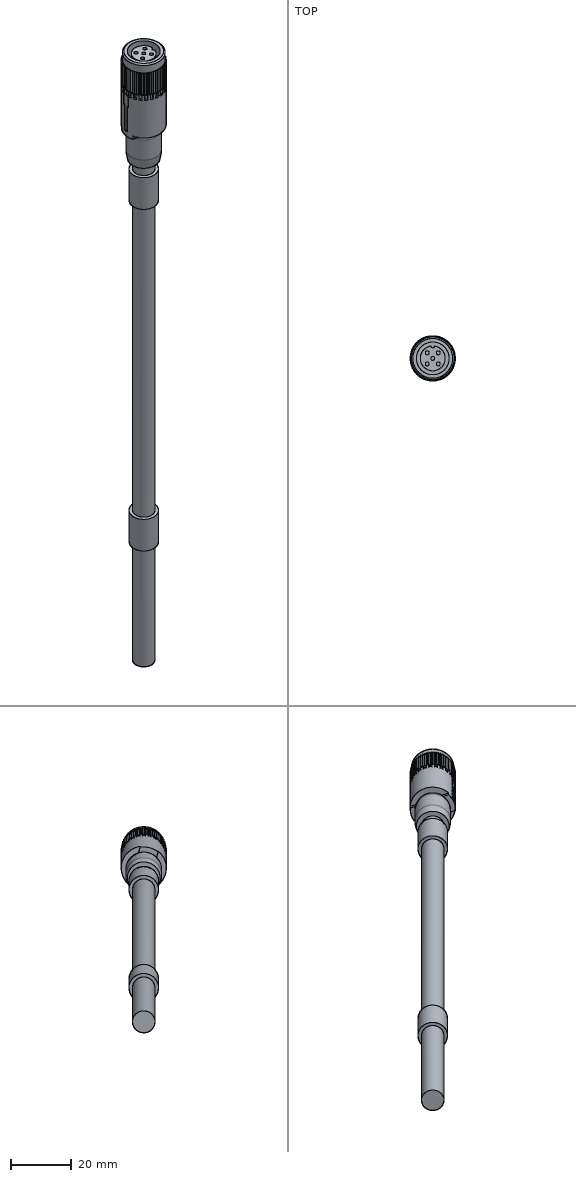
import cadquery as cq
import math

total_length = 258.2
plug_diameter = 15.0
plug_radius = plug_diameter / 2

cable_radius = 3.75
sleeve_radius = 5.0
sleeve_length = 13.5
upper_sleeve_bottom = 195.0
lower_sleeve_bottom = 50.0

collar_radius = 6.0
collar_bottom = 212.8
collar_end_radius = 5.5
collar_round_top = 216.6
collar_neck_radius = 5.5
collar_neck_bottom = 225.2

grip_bottom = 227.2
grip_top = 243.2
tongue_width = 6.2
tongue_drop = 1.3

groove_width = 1.5
groove_depth = 0.3
groove_bottom = 228.0
groove_head_width = 2.3
groove_head_bottom = 238.5

nut_foot_height = 2.0
knurl_bottom = grip_top + nut_foot_height
knurl_top = 254.5
knurl_depth = 0.4
knurl_count = 60
foot_notch_count = 24
foot_notch_depth = 0.8
foot_notch_width = 1.0
rim_radius = 7.1
rim_chamfer = 0.5

socket_radius = 5.5
socket_depth = 7.7
insert_radius = 4.1
insert_setback = 1.0
insert_key_radius = 0.65
contact_hole_radius = 0.65
contact_circle_radius = 2.5
contact_count = 4
contact_hole_depth = 5.2


def cylinder(radius, bottom, top):
    """Solid cylinder on the Z axis between two heights."""
    return cq.Workplane("XY").workplane(offset=bottom).circle(radius).extrude(top - bottom)


def around_axis(shape, count):
    """Copies of a shape spread evenly around the Z axis."""
    copies = cq.Workplane("XY")
    for index in range(count):
        copies = copies.add(shape.rotate((0, 0, 0), (0, 0, 1), index * 360 / count).vals())
    return copies.combine()


def make_cable():
    cable = cylinder(cable_radius, 0, collar_bottom)
    for bottom in (lower_sleeve_bottom, upper_sleeve_bottom):
        cable = cable.union(cylinder(sleeve_radius, bottom, bottom + sleeve_length))
    return cable


def make_collar():
    round_height = collar_round_top - collar_bottom
    round_inset = collar_radius - collar_end_radius
    arc_radius = (round_height**2 + round_inset**2) / (2 * round_inset)
    half_angle = math.asin(round_height / arc_radius) / 2
    arc_middle = (
        collar_radius - arc_radius * (1 - math.cos(half_angle)),
        collar_round_top - arc_radius * math.sin(half_angle),
    )
    return (
        cq.Workplane("XZ")
        .moveTo(0, collar_bottom)
        .lineTo(collar_end_radius, collar_bottom)
        .threePointArc(arc_middle, (collar_radius, collar_round_top))
        .lineTo(collar_radius, collar_neck_bottom)
        .lineTo(collar_neck_radius, grip_bottom)
        .lineTo(0, grip_bottom)
        .close()
        .revolve(360, (0, 0, 0), (0, 1, 0))
    )


def make_grip():
    grip = cylinder(plug_radius, grip_bottom, grip_top)
    tongue_bottom = grip_bottom - tongue_drop
    tongue_band = cq.Workplane("XY").box(
        tongue_width, plug_diameter, tongue_drop, centered=(True, True, False)
    ).translate((0, 0, tongue_bottom))
    tongue_ring = cylinder(plug_radius, tongue_bottom, grip_bottom).cut(
        cylinder(collar_neck_radius, tongue_bottom, grip_bottom)
    )
    grip = grip.union(tongue_ring.intersect(tongue_band))
    for width, bottom in ((groove_width, groove_bottom), (groove_head_width, groove_head_bottom)):
        cutter = cq.Workplane("XY").box(
            width, groove_depth, grip_top - bottom, centered=(True, False, False)
        )
        grip = grip.cut(cutter.translate((0, -plug_radius, bottom)))
    return grip


def make_nut():
    foot = cylinder(plug_radius, grip_top, knurl_bottom)
    notch = cq.Workplane("XY").box(
        foot_notch_depth, foot_notch_width, nut_foot_height, centered=(False, True, False)
    ).translate((plug_radius - foot_notch_depth, 0, grip_top))
    foot = foot.cut(around_axis(notch, foot_notch_count))

    outline = []
    for index in range(knurl_count):
        crest_angle = 2 * math.pi * index / knurl_count
        root_angle = crest_angle + math.pi / knurl_count
        root_radius = plug_radius - knurl_depth
        outline.append((plug_radius * math.cos(crest_angle), plug_radius * math.sin(crest_angle)))
        outline.append((root_radius * math.cos(root_angle), root_radius * math.sin(root_angle)))
    knurl_height = knurl_top - knurl_bottom
    knurl = cq.Workplane("XY").workplane(offset=knurl_bottom).polyline(outline).close().extrude(knurl_height)

    rim = cylinder(rim_radius, knurl_top, total_length).faces(">Z").edges().chamfer(rim_chamfer)
    return foot.union(knurl).union(rim)


def make_insert():
    bottom = total_length - socket_depth
    top = total_length - insert_setback
    insert = cylinder(insert_radius, bottom, top)
    keyway = cylinder(insert_key_radius, bottom, top).translate((0, insert_radius, 0))
    contact_hole = cylinder(contact_hole_radius, top - contact_hole_depth, top).translate(
        (contact_circle_radius, 0, 0)
    )
    contact_holes = around_axis(contact_hole, contact_count).rotate(
        (0, 0, 0), (0, 0, 1), 180 / contact_count
    )
    center_hole = cylinder(contact_hole_radius, top - contact_hole_depth, top)
    return insert.cut(keyway).cut(contact_holes).cut(center_hole)


socket = cylinder(socket_radius, total_length - socket_depth, total_length)

result = make_cable().union(make_collar()).union(make_grip()).union(make_nut())
result = result.cut(socket).union(make_insert())